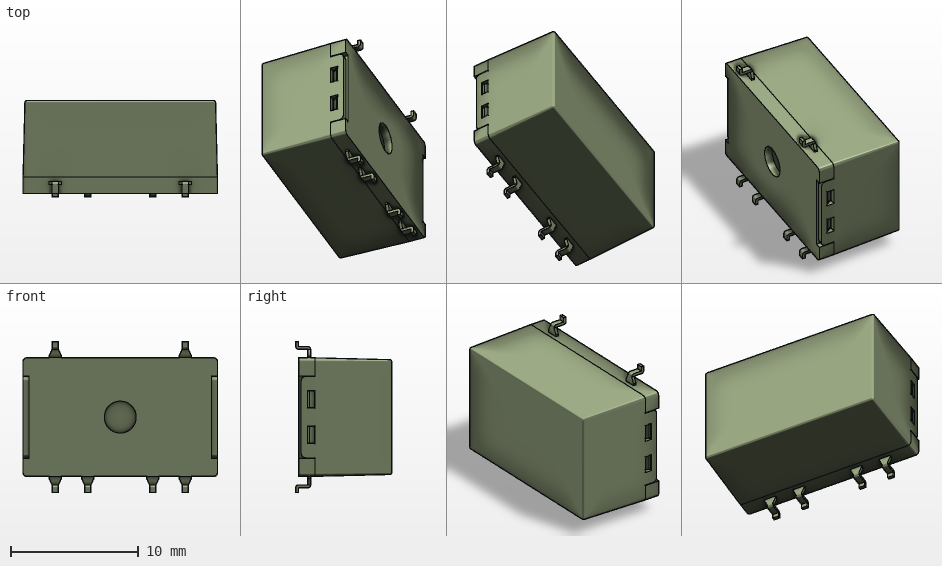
import cadquery as cq
import math

LENGTH = 15.24
HEIGHT = 9.3
BASE_DEPTH = 1.3
CORNER_RADIUS = 0.3

TOTAL_DEPTH = 7.55
DRAFT_ANGLE = 1.4
BACK_EDGE_RADIUS = 0.18

TAB_THICKNESS = 0.45
RECESS_WIDTH = 6.46
SIDE_CLEARANCE = 0.05
TAB_WIDTH = RECESS_WIDTH - 2 * SIDE_CLEARANCE
TAB_CORNER_RADIUS = 0.35
TAB_FRONT_Y = 0.2

WINDOW_DEPTH = 0.61
WINDOW_WIDTH = 1.39
WINDOW_PITCH = 2.77
CATCH_WIDTH = WINDOW_WIDTH - 2 * SIDE_CLEARANCE
CATCH_LAND = 0.15
CATCH_RISE = 0.3
CATCH_END_GAP = 0.05

HOLE_DIAMETER = 2.5
HOLE_DEPTH = 0.65

PIN_THICKNESS = 0.25
PIN_WIDTH = 0.5
PIN_ROOT_WIDTH = 0.98
PIN_ROOT_HEIGHT = 0.15
PIN_REACH = 1.26
PIN_FOOT_LENGTH = 0.37
PIN_FRONT_Y = -0.25
PIN_BACK_Y = 0.95
PIN_PITCH = 2.55
TOP_PIN_STEPS = (-2, 2)
BOTTOM_PIN_STEPS = (-2, -1, 1, 2)

CASE_DEPTH = TOTAL_DEPTH + PIN_FRONT_Y - BASE_DEPTH
WINDOW_FRONT_Y = BASE_DEPTH - WINDOW_DEPTH
END_X = LENGTH / 2
TOP_Z = HEIGHT / 2


def box(x_range, y_range, z_range):
    """Axis-aligned block between the given limits."""
    (x0, x1), (y0, y1), (z0, z1) = x_range, y_range, z_range
    return cq.Workplane("XY").box(x1 - x0, y1 - y0, z1 - z0, centered=False).translate((x0, y0, z0))


def rounded_rectangle(y):
    """Outline shared by base and case, on a plane at Y = y that extrudes toward +Y."""
    plane = cq.Plane(origin=(0, y, 0), xDir=(-1, 0, 0), normal=(0, 1, 0))
    outline = cq.Sketch().rect(LENGTH, HEIGHT).vertices().fillet(CORNER_RADIUS)
    return cq.Workplane(plane).placeSketch(outline)


def both_ends(left_part):
    """The part at the -X end together with its mirror image at the +X end."""
    return [left_part, left_part.mirror("YZ")]


def clip_tab():
    """Tab at the -X end, with rounded front corners and two windows."""
    tab = box((-END_X, TAB_THICKNESS - END_X), (TAB_FRONT_Y, BASE_DEPTH), (-TAB_WIDTH / 2, TAB_WIDTH / 2))
    tab = tab.edges("|X and <Y").fillet(TAB_CORNER_RADIUS)
    for side in (-1, 1):
        z = side * WINDOW_PITCH / 2
        tab = tab.cut(
            box(
                (-END_X, TAB_THICKNESS - END_X),
                (WINDOW_FRONT_Y, BASE_DEPTH),
                (z - WINDOW_WIDTH / 2, z + WINDOW_WIDTH / 2),
            )
        )
    return tab


def make_case():
    case = rounded_rectangle(BASE_DEPTH).extrude(CASE_DEPTH, taper=DRAFT_ANGLE)
    case = case.faces(">Y").edges().fillet(BACK_EDGE_RADIUS)
    for tab in both_ends(clip_tab()):
        case = case.union(tab)
    return case


def end_recess():
    """Recess at the -X end of the base, open to the front, the back and the end."""
    return box((-END_X, TAB_THICKNESS - END_X), (0, BASE_DEPTH), (-RECESS_WIDTH / 2, RECESS_WIDTH / 2))


def catch(z):
    """Wedge on the floor of the -X recess: a flat land in front, then a ramp down toward the case."""
    floor_x = TAB_THICKNESS - END_X
    land_x = floor_x - CATCH_RISE
    return (
        cq.Workplane("XY", origin=(0, 0, z))
        .moveTo(floor_x, WINDOW_FRONT_Y)
        .lineTo(land_x, WINDOW_FRONT_Y)
        .lineTo(land_x, WINDOW_FRONT_Y + CATCH_LAND)
        .lineTo(floor_x, BASE_DEPTH - CATCH_END_GAP)
        .close()
        .extrude(CATCH_WIDTH / 2, both=True)
    )


def upper_pin(x):
    """Terminal on the top face: a tapered root, a run to the front and an upturned foot."""
    end_z = TOP_Z + PIN_REACH
    run_top_z = end_z - PIN_FOOT_LENGTH
    run_bottom_z = run_top_z - PIN_THICKNESS
    root_front_y = PIN_BACK_Y - PIN_THICKNESS
    foot_back_y = PIN_FRONT_Y + PIN_THICKNESS
    bend = PIN_THICKNESS * math.sqrt(0.5)

    strip = (
        cq.Workplane("YZ", origin=(x, 0, 0))
        .moveTo(PIN_FRONT_Y, end_z)
        .lineTo(PIN_FRONT_Y, run_top_z)
        .threePointArc((foot_back_y - bend, run_top_z - bend), (foot_back_y, run_bottom_z))
        .lineTo(PIN_BACK_Y, run_bottom_z)
        .threePointArc((root_front_y + bend, run_bottom_z + bend), (root_front_y, run_top_z))
        .lineTo(foot_back_y, run_top_z)
        .lineTo(foot_back_y, end_z)
        .close()
        .extrude(PIN_WIDTH / 2, both=True)
    )
    root = (
        cq.Workplane("XZ", origin=(x, PIN_BACK_Y, 0))
        .moveTo(-PIN_ROOT_WIDTH / 2, TOP_Z)
        .lineTo(PIN_ROOT_WIDTH / 2, TOP_Z)
        .lineTo(PIN_ROOT_WIDTH / 2, TOP_Z + PIN_ROOT_HEIGHT)
        .lineTo(PIN_WIDTH / 2, run_bottom_z)
        .lineTo(-PIN_WIDTH / 2, run_bottom_z)
        .lineTo(-PIN_ROOT_WIDTH / 2, TOP_Z + PIN_ROOT_HEIGHT)
        .close()
        .extrude(PIN_THICKNESS)
    )
    return strip.union(root)


def make_base():
    base = rounded_rectangle(0).extrude(BASE_DEPTH)
    for recess in both_ends(end_recess()):
        base = base.cut(recess)
    for side in (-1, 1):
        for wedge in both_ends(catch(side * WINDOW_PITCH / 2)):
            base = base.union(wedge)
    hole = cq.Workplane("XZ").circle(HOLE_DIAMETER / 2).extrude(-HOLE_DEPTH)
    base = base.cut(hole)
    for step in TOP_PIN_STEPS:
        base = base.union(upper_pin(step * PIN_PITCH))
    for step in BOTTOM_PIN_STEPS:
        base = base.union(upper_pin(step * PIN_PITCH).mirror("XY"))
    return base


case = make_case()
base = make_base()

result = cq.Compound.makeCompound([case.val(), base.val()])